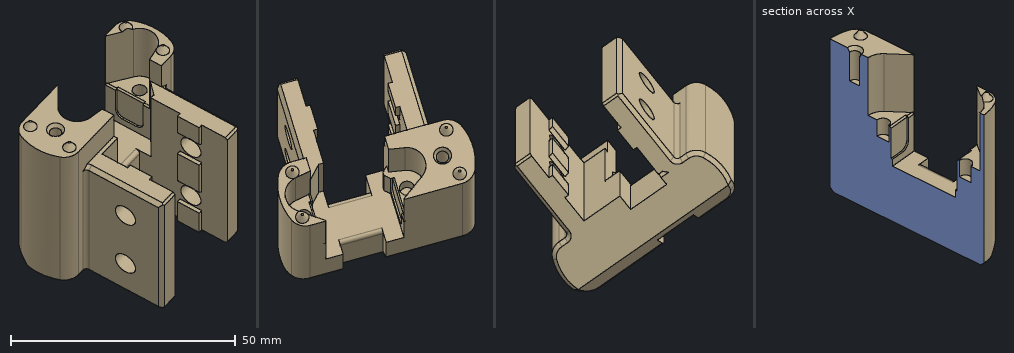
import cadquery as cq
import math


TOLERANCE = 0.005

LENGTH = 44.85
HEIGHT = 43.8
BODY_WIDTH = 15.5
BODY_HEIGHT = 42.05
FLOOR_HEIGHT = 15.4
END_RADIUS = 13.45
CORNER_RADIUS = 4.0
UNDERSIDE_SLOPE = 4.1
EDGE_CHAMFER = 1.0
SHOULDER_WIDTH = 16.5

FRONT_POST_FACE = -4.12
BACK_POST_FACE = 14.05

ARM_END = 36.5
ARM_HEIGHT = 35.0
ARM_GAP = 20.0
ARM_THICKNESS = 5.0
ARM_TIP_CHAMFER = 0.55
ARM_INNER = ARM_GAP / 2
ARM_OUTER = ARM_INNER + ARM_THICKNESS
ARM_ROOT_X = 12.45
ARM_ROOT_Y = 11.15

HOLE_X = 26.5
HOLE_DIAMETER = 5.5
HOLE_HEIGHTS = (9.55, 25.55)
PAD_WIDTH = 5.95
PAD_THICKNESS = 1.0
PAD_GAP = 6.15
PAD_SLOPE_HEIGHT = 0.85

WAIST_LEFT = 2.5
WAIST_RIGHT = 12.45
WAIST_FRONT = 0.0
WAIST_BACK = ARM_INNER
WAIST_ROUND = 1.05

POCKET_FLOOR = 26.1
POCKET_X = 7.5
POCKET_RADIUS = 4.2
POCKET_INSET = 2.85
POCKET_MOUTH_LEFT = 0.2
POCKET_MOUTH_RIGHT = 12.3
POCKET_HOLE_DIAMETER = 3.3
POCKET_HOLE_DEPTH = 4.5
LIP_CHAMFER = 0.4
RECESS_DEPTH = 0.45
RECESS_BOTTOM = 17.35
RECESS_RADIUS = 1.97
BACK_RECESS = (2.95, 10.5)

RIB_LEFT = 10.7
RIB_RIGHT = 13.75
RIB_DEPTH = 1.2
RIB_TAPER = 1.1
FRONT_RECESS = (2.1, RIB_LEFT)

SCREW_Y = -15.25
SCREW_DIAMETER = 2.8
SCREW_MOUTH_DIAMETER = 4.0
SCREW_MOUTH_DEPTH = 1.0
SCREW_DEPTH = 8.95

CONE_DIAMETER = 3.0
CONE_TIP_DIAMETER = 0.5
CONE_HEIGHT = HEIGHT - BODY_HEIGHT
CONE_PLACES = ((2.38, -17.75), (13.1, -17.75), (2.38, 18.8), (13.1, 17.98))


def box(x_range, y_range, z_range):
    """Box between the given limits."""
    size = [high - low for low, high in (x_range, y_range, z_range)]
    corner = (x_range[0], y_range[0], z_range[0])
    return cq.Workplane("XY").box(*size, centered=False).translate(corner)


def make_body():
    """Round-ended block with a sloped underside and chamfered lower rim."""
    half_width = BODY_WIDTH / 2
    half_length = LENGTH / 2
    shoulder = half_length - END_RADIUS + math.sqrt(END_RADIUS**2 - half_width**2)
    block = (
        cq.Workplane("XY")
        .moveTo(0, -shoulder)
        .threePointArc((half_width, -half_length), (BODY_WIDTH, -shoulder))
        .lineTo(BODY_WIDTH, shoulder)
        .threePointArc((half_width, half_length), (0, shoulder))
        .close()
        .extrude(BODY_HEIGHT)
        .edges("|Z")
        .fillet(CORNER_RADIUS)
    )
    slope = (
        cq.Workplane("XZ")
        .polyline([(0, 0), (UNDERSIDE_SLOPE, 0), (0, UNDERSIDE_SLOPE)])
        .close()
        .extrude(half_length, both=True)
    )
    block = block.cut(slope)
    underside = block.faces("<Z").edges().vals()
    sloped_face = block.faces(cq.selectors.DirectionMinMaxSelector(cq.Vector(1, 0, 1), False))
    sloped = sloped_face.edges().vals()
    ridge = cq.Vector(UNDERSIDE_SLOPE, 0, 0)
    rim = [edge for edge in underside + sloped if (edge.Center() - ridge).Length > TOLERANCE]
    return block.newObject(rim).chamfer(EDGE_CHAMFER)


def make_arm():
    """Back arm; its outer face blends into the post through a concave round."""
    blend_x = BODY_WIDTH + EDGE_CHAMFER
    blend_end = ARM_OUTER + EDGE_CHAMFER
    buried_y = blend_end + EDGE_CHAMFER
    buried_x = BODY_WIDTH - 2 * EDGE_CHAMFER
    middle = EDGE_CHAMFER * (1 - math.sqrt(0.5))
    arm = (
        cq.Workplane("XY")
        .moveTo(BODY_WIDTH, ARM_INNER)
        .lineTo(ARM_END, ARM_INNER)
        .lineTo(ARM_END, ARM_OUTER)
        .lineTo(blend_x, ARM_OUTER)
        .threePointArc((BODY_WIDTH + middle, ARM_OUTER + middle), (BODY_WIDTH, blend_end))
        .lineTo(BODY_WIDTH, buried_y)
        .lineTo(buried_x, buried_y)
        .lineTo(buried_x, BACK_POST_FACE)
        .lineTo(ARM_ROOT_X, BACK_POST_FACE)
        .lineTo(BODY_WIDTH, ARM_ROOT_Y)
        .close()
        .extrude(ARM_HEIGHT)
    )
    outer_face = arm.faces(cq.selectors.NearestToPointSelector((HOLE_X, ARM_OUTER, ARM_HEIGHT / 2)))
    rim = [edge for edge in outer_face.edges().vals() if edge.Center().x > blend_x + TOLERANCE]
    arm = arm.newObject(rim).chamfer(EDGE_CHAMFER)
    arm = arm.faces(">X").edges("|Y").chamfer(ARM_TIP_CHAMFER)
    for pad in make_pads():
        arm = arm.union(pad)
    for height in HOLE_HEIGHTS:
        bore = cq.Workplane("XZ").center(HOLE_X, height).circle(HOLE_DIAMETER / 2).extrude(-LENGTH)
        arm = arm.cut(bore)
    return arm


def make_pads():
    """Pads on the inner arm face, broken at each hole; overhanging lower edges are sloped."""
    bottoms = [0] + [height + PAD_GAP / 2 for height in HOLE_HEIGHTS]
    tops = [height - PAD_GAP / 2 for height in HOLE_HEIGHTS] + [ARM_HEIGHT]
    pad_face = ARM_INNER - PAD_THICKNESS
    pads = []
    for bottom, top in zip(bottoms, tops):
        slope_height = PAD_SLOPE_HEIGHT if bottom > 0 else 0
        profile = [
            (ARM_INNER, bottom),
            (ARM_INNER, top),
            (pad_face, top),
            (pad_face, bottom + slope_height),
        ]
        pad = cq.Workplane("YZ").workplane(offset=HOLE_X).polyline(profile).close()
        pads.append(pad.extrude(PAD_WIDTH / 2, both=True))
    return pads


def make_pocket():
    """Front pocket: a round seat with two straight sides tangent to it, open at the post face."""
    centre_y = FRONT_POST_FACE - POCKET_INSET

    def tangent_point(mouth_x, side):
        run = mouth_x - POCKET_X
        reach = math.hypot(run, POCKET_INSET)
        angle = math.atan2(POCKET_INSET, run) + side * math.acos(POCKET_RADIUS / reach)
        return POCKET_X + POCKET_RADIUS * math.cos(angle), centre_y + POCKET_RADIUS * math.sin(angle)

    return (
        cq.Workplane("XY")
        .workplane(offset=POCKET_FLOOR)
        .moveTo(POCKET_MOUTH_LEFT, FRONT_POST_FACE)
        .lineTo(*tangent_point(POCKET_MOUTH_LEFT, 1))
        .threePointArc((POCKET_X, centre_y - POCKET_RADIUS), tangent_point(POCKET_MOUTH_RIGHT, -1))
        .lineTo(POCKET_MOUTH_RIGHT, FRONT_POST_FACE)
        .close()
        .extrude(LENGTH)
    )


def make_pocket_hole():
    """Blind hole in the front pocket floor."""
    return (
        cq.Workplane("XY")
        .workplane(offset=POCKET_FLOOR - POCKET_HOLE_DEPTH)
        .center(POCKET_X, FRONT_POST_FACE - POCKET_INSET)
        .circle(POCKET_HOLE_DIAMETER / 2)
        .extrude(POCKET_HOLE_DEPTH)
    )


def make_lip_wedge(x_range, face_y):
    """Wedge that bevels the pocket floor edge along a front post face."""
    left, right = x_range
    return (
        cq.Workplane("YZ")
        .workplane(offset=left)
        .polyline(
            [
                (face_y, POCKET_FLOOR - LIP_CHAMFER),
                (face_y, POCKET_FLOOR),
                (face_y - LIP_CHAMFER, POCKET_FLOOR),
            ]
        )
        .close()
        .extrude(right - left)
    )


def make_recess(x_range):
    """Shallow recess in the front post face with round lower corners and a bevelled top edge."""
    recess_face = FRONT_POST_FACE - RECESS_DEPTH
    recess = (
        box(x_range, (recess_face, FRONT_POST_FACE), (RECESS_BOTTOM, POCKET_FLOOR))
        .faces("<Z")
        .edges("|Y")
        .fillet(RECESS_RADIUS)
    )
    return recess.union(make_lip_wedge(x_range, recess_face))


def make_seat_cutter(recess_range, lip_right):
    """Everything removed from the front post around its pocket."""
    lip = make_lip_wedge((POCKET_MOUTH_LEFT, lip_right), FRONT_POST_FACE)
    return make_pocket().union(lip).union(make_recess(recess_range)).union(make_pocket_hole())


def to_back(shape):
    """Mirror a front post shape onto the back post."""
    middle = (FRONT_POST_FACE + BACK_POST_FACE) / 2
    return shape.mirror("XZ", (0, middle, 0))


def make_rib():
    """Tapered upright rib beside the front recess, level with the pocket floor."""
    rib_face = FRONT_POST_FACE + RIB_DEPTH
    return (
        cq.Workplane("XY")
        .workplane(offset=FLOOR_HEIGHT)
        .polyline(
            [
                (RIB_LEFT, FRONT_POST_FACE),
                (RIB_LEFT + RIB_TAPER, rib_face),
                (RIB_RIGHT - RIB_TAPER, rib_face),
                (RIB_RIGHT, FRONT_POST_FACE),
            ]
        )
        .close()
        .extrude(POCKET_FLOOR - FLOOR_HEIGHT)
    )


def make_waist_cutter():
    """Notches that narrow the floor between the arms, each leaving a rounded top edge."""
    waist = box((WAIST_LEFT, WAIST_RIGHT), (WAIST_FRONT, WAIST_BACK), (-FLOOR_HEIGHT, FLOOR_HEIGHT))
    waist = waist.faces(">Z").edges("|Y").fillet(WAIST_ROUND)
    clearing = box((0, BODY_WIDTH), (WAIST_FRONT, WAIST_BACK), (-FLOOR_HEIGHT, LENGTH))
    return clearing.cut(waist)


def make_screw_hole():
    """Blind hole with a conical mouth in the front post top."""
    mouth_radius = SCREW_MOUTH_DIAMETER / 2
    radius = SCREW_DIAMETER / 2
    return (
        cq.Workplane("XZ")
        .polyline(
            [
                (0, BODY_HEIGHT),
                (mouth_radius, BODY_HEIGHT),
                (radius, BODY_HEIGHT - SCREW_MOUTH_DEPTH),
                (radius, BODY_HEIGHT - SCREW_DEPTH),
                (0, BODY_HEIGHT - SCREW_DEPTH),
            ]
        )
        .close()
        .revolve()
        .translate((POCKET_X, SCREW_Y, 0))
    )


def make_cone(x, y):
    """Locating cone standing on a post."""
    cone = cq.Solid.makeCone(CONE_DIAMETER / 2, CONE_TIP_DIAMETER / 2, CONE_HEIGHT)
    return cq.Workplane(cone).translate((x, y, BODY_HEIGHT))


front_seat = make_seat_cutter(FRONT_RECESS, RIB_LEFT)
back_seat = to_back(make_seat_cutter(BACK_RECESS, POCKET_MOUTH_RIGHT))
opening = box((0, BODY_WIDTH), (FRONT_POST_FACE, BACK_POST_FACE), (FLOOR_HEIGHT, LENGTH))
shoulder_x = (BODY_WIDTH - EDGE_CHAMFER, SHOULDER_WIDTH)
low_shoulder = box(shoulder_x, (FRONT_POST_FACE, WAIST_FRONT), (0, FLOOR_HEIGHT))
tall_shoulder = box(shoulder_x, (-ARM_OUTER + EDGE_CHAMFER, FRONT_POST_FACE), (0, ARM_HEIGHT))
back_arm = make_arm()
front_arm = back_arm.mirror("XZ")

body = make_body().cut(opening).cut(make_waist_cutter())
body = body.union(low_shoulder).union(tall_shoulder).union(front_arm).union(back_arm)
for place in CONE_PLACES:
    body = body.union(make_cone(*place))
body = body.cut(front_seat).cut(back_seat)
result = body.union(make_rib()).cut(make_screw_hole())